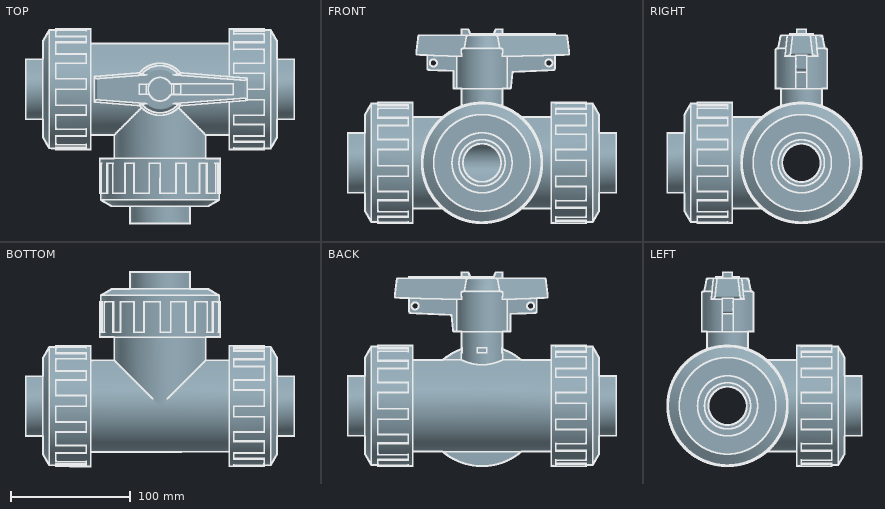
import cadquery as cq
import math


PORT_LENGTH = 112.0
BODY_RADIUS = 38.3
SPIGOT_RADIUS = 25.0
BORE_RADIUS = 16.0
SOCKET_RADIUS = 19.3
SOCKET_DEPTH = 31.4
PORT_ANGLES = (0, 90, 180)

NUT_INNER_END = 57.5
COLLAR_END = 61.5
RIB_END = 87.0
CHAMFER_START = 92.3
NUT_OUTER_END = 97.7
NUT_RADIUS = 50.5
NUT_ROOT_RADIUS = 49.5
NUT_FACE_RADIUS = 40.3
RIB_COUNT = 14
RIB_PITCH = 360 / RIB_COUNT
RIB_ANGLE = 15.5
RIB_OVERLAP = 2.2

STEM_RADIUS = 17.2
NOTCH_WIDTH = 7.6
NOTCH_BOTTOM = 44.4
NOTCH_TOP = 48.5
NOTCH_FLOOR = 16.5

HUB_RADIUS = 21.7
HUB_BOTTOM = 61.8
HUB_SHOULDER = 95.5
CAP_BASE_RADIUS = 19.7
CAP_TOP_RADIUS = 17.5
HUB_ROUND = 1.5
HANDLE_TOP = 106.5

GRIP_LEFT_END = -55.3
GRIP_RIGHT_END = 73.2
GRIP_LEFT_HALF_WIDTH = 10.8
GRIP_RIGHT_HALF_WIDTH = 9.5
GRIP_CENTRE_HALF_WIDTH = 15.0
GRIP_HUB_REACH = 17.5
GRIP_DRAFT = 7.0
GRIP_BOTTOM = 88.7
GRIP_END_BOTTOM = 90.0
GRIP_ROUND = 1.3

MARK_HEIGHT = 1.1
DISC_RADIUS = 9.9
STRIP_END = 61.0
STRIP_WIDTH = 9.0
PEG_TOP = 111.5
PEG_WIDTH = 8.0
PEG_INNER = 9.2
PEG_OUTER = 17.2
PEG_SLANT = 2.2

FIN_THICKNESS = 9.2
FIN_LEFT = -45.7
FIN_RIGHT = 61.0
FIN_TIP_BOTTOM = 77.3
FIN_LEFT_ROOT_BOTTOM = 76.5
FIN_RIGHT_ROOT_BOTTOM = 75.7
SKIRT_LEFT = -24.0
SKIRT_RIGHT_BOTTOM = 24.2
SKIRT_RIGHT_TOP = 25.5
FIN_CORNER_ROUND = 1.8
SKIRT_CORNER_ROUND = 1.1
EYE_RADIUS = 3.0
EYE_HEIGHT = 83.3
EYE_INSET = 5.2


def turn_about_z(shape, angle):
    return shape.rotate((0, 0, 0), (0, 0, 1), angle)


def port_cylinder(radius, start, end):
    """Cylinder along the -X port between two distances from the origin."""
    return cq.Workplane("YZ", origin=(-end, 0, 0)).circle(radius).extrude(end - start)


def make_rib(index):
    """One raised grip rib of the nut; the first starts at +Z and turns toward -Y."""
    start = math.radians(90 + index * RIB_PITCH)
    middle = start + math.radians(RIB_ANGLE / 2)
    end = start + math.radians(RIB_ANGLE)
    inner_radius = NUT_ROOT_RADIUS - RIB_OVERLAP

    def polar(radius, angle):
        return (radius * math.cos(angle), radius * math.sin(angle))

    return (
        cq.Workplane("YZ", origin=(-RIB_END, 0, 0))
        .moveTo(*polar(inner_radius, start))
        .lineTo(*polar(NUT_RADIUS, start))
        .threePointArc(polar(NUT_RADIUS, middle), polar(NUT_RADIUS, end))
        .lineTo(*polar(inner_radius, end))
        .close()
        .extrude(RIB_END - COLLAR_END)
    )


def make_nut():
    profile = [
        (-NUT_INNER_END, 0),
        (-NUT_INNER_END, NUT_RADIUS),
        (-COLLAR_END, NUT_RADIUS),
        (-COLLAR_END, NUT_ROOT_RADIUS),
        (-CHAMFER_START, NUT_ROOT_RADIUS),
        (-NUT_OUTER_END, NUT_FACE_RADIUS),
        (-NUT_OUTER_END, 0),
    ]
    nut = cq.Workplane("XY").polyline(profile).close().revolve(360, (0, 0, 0), (1, 0, 0))
    for index in range(RIB_COUNT):
        nut = nut.union(make_rib(index))
    return nut


def make_port():
    barrel = port_cylinder(BODY_RADIUS, 0, NUT_INNER_END)
    spigot = port_cylinder(SPIGOT_RADIUS, NUT_INNER_END, PORT_LENGTH)
    return make_nut().union(barrel).union(spigot)


def make_port_passage():
    """Through bore with a wider pipe socket at the open end."""
    bore = port_cylinder(BORE_RADIUS, 0, PORT_LENGTH)
    socket = port_cylinder(SOCKET_RADIUS, PORT_LENGTH - SOCKET_DEPTH, PORT_LENGTH)
    return bore.union(socket)


def make_stem():
    """Round post with four shallow flat-bottomed notches spaced around it."""
    stem = cq.Workplane("XY").circle(STEM_RADIUS).extrude(HUB_BOTTOM)
    notch = cq.Workplane("XY", origin=(NOTCH_FLOOR, 0, NOTCH_BOTTOM)).box(
        STEM_RADIUS - NOTCH_FLOOR, NOTCH_WIDTH, NOTCH_TOP - NOTCH_BOTTOM, centered=(False, True, False)
    )
    for angle in range(0, 360, 90):
        stem = stem.cut(turn_about_z(notch, angle))
    return stem


def make_hub():
    """Cylinder with a rounded shoulder, carrying a conical cap with a rounded rim."""
    barrel = (
        cq.Workplane("XY", origin=(0, 0, HUB_BOTTOM))
        .circle(HUB_RADIUS)
        .extrude(HUB_SHOULDER - HUB_BOTTOM)
        .faces(">Z").edges().fillet(HUB_ROUND)
    )
    cap_profile = [
        (0, HUB_BOTTOM),
        (CAP_BASE_RADIUS, HUB_BOTTOM),
        (CAP_BASE_RADIUS, HUB_SHOULDER),
        (CAP_TOP_RADIUS, HANDLE_TOP),
        (0, HANDLE_TOP),
    ]
    cap = (
        cq.Workplane("XZ").polyline(cap_profile).close()
        .revolve(360, (0, 0, 0), (0, 1, 0))
        .faces(">Z").edges().fillet(HUB_ROUND)
    )
    return barrel.union(cap)


def make_grip():
    """Drafted lever, widest at the hub, with an underside that rises toward the tips."""
    upper_outline = [
        (GRIP_LEFT_END, GRIP_LEFT_HALF_WIDTH),
        (0, GRIP_CENTRE_HALF_WIDTH),
        (GRIP_RIGHT_END, GRIP_RIGHT_HALF_WIDTH),
    ]
    lower_outline = [(x, -y) for x, y in reversed(upper_outline)]
    grip = (
        cq.Workplane("XY", origin=(0, 0, GRIP_BOTTOM))
        .polyline(upper_outline + lower_outline).close()
        .extrude(HANDLE_TOP - GRIP_BOTTOM, taper=GRIP_DRAFT)
        .faces(">Z").edges("|Y").fillet(GRIP_ROUND)
    )
    for tip in (GRIP_LEFT_END, GRIP_RIGHT_END):
        wedge = (
            cq.Workplane("XZ")
            .polyline([
                (math.copysign(GRIP_HUB_REACH, tip), GRIP_BOTTOM),
                (tip, GRIP_END_BOTTOM),
                (tip, GRIP_BOTTOM),
            ])
            .close()
            .extrude(GRIP_CENTRE_HALF_WIDTH, both=True)
        )
        grip = grip.cut(wedge)
    for side in ("<X", ">X"):
        grip = grip.edges("|Y").edges(side).fillet(GRIP_ROUND)
    return grip


def make_fin():
    outline = [
        (FIN_LEFT, HUB_SHOULDER),
        (FIN_LEFT, FIN_TIP_BOTTOM),
        (SKIRT_LEFT, FIN_LEFT_ROOT_BOTTOM),
        (SKIRT_LEFT, HUB_BOTTOM),
        (SKIRT_RIGHT_BOTTOM, HUB_BOTTOM),
        (SKIRT_RIGHT_TOP, FIN_RIGHT_ROOT_BOTTOM),
        (FIN_RIGHT, FIN_TIP_BOTTOM),
        (FIN_RIGHT, HUB_SHOULDER),
    ]
    fin = (
        cq.Workplane("XZ").polyline(outline).close()
        .extrude(FIN_THICKNESS / 2, both=True)
    )
    for side in ("<X", ">X"):
        fin = fin.faces(side).edges("|Y and <Z").fillet(FIN_CORNER_ROUND)
    fin = fin.faces("<Z").edges("|Y").fillet(SKIRT_CORNER_ROUND)
    eyes = (
        cq.Workplane("XZ")
        .pushPoints([(FIN_LEFT + EYE_INSET, EYE_HEIGHT), (FIN_RIGHT - EYE_INSET, EYE_HEIGHT)])
        .circle(EYE_RADIUS)
        .extrude(FIN_THICKNESS, both=True)
    )
    return fin.cut(eyes)


def make_peg():
    """Small block on +X whose face toward the stem axis leans outward."""
    profile = [
        (PEG_INNER, HANDLE_TOP),
        (PEG_INNER + PEG_SLANT, PEG_TOP),
        (PEG_OUTER, PEG_TOP),
        (PEG_OUTER, HANDLE_TOP),
    ]
    return cq.Workplane("XZ").polyline(profile).close().extrude(PEG_WIDTH / 2, both=True)


def make_top_marks():
    """Round disc, pointer strip along +X and a pair of pegs beside the disc."""
    top = cq.Workplane("XY", origin=(0, 0, HANDLE_TOP))
    disc = top.circle(DISC_RADIUS).extrude(MARK_HEIGHT)
    strip = top.box(STRIP_END, STRIP_WIDTH, MARK_HEIGHT, centered=(False, True, False))
    peg = make_peg()
    return disc.union(strip).union(peg).union(turn_about_z(peg, 180))


def make_handle():
    return make_hub().union(make_grip()).union(make_fin()).union(make_top_marks())


valve = make_stem().union(make_handle())
port = make_port()
passage = make_port_passage()
for port_angle in PORT_ANGLES:
    valve = valve.union(turn_about_z(port, port_angle))
for port_angle in PORT_ANGLES:
    valve = valve.cut(turn_about_z(passage, port_angle))
result = valve